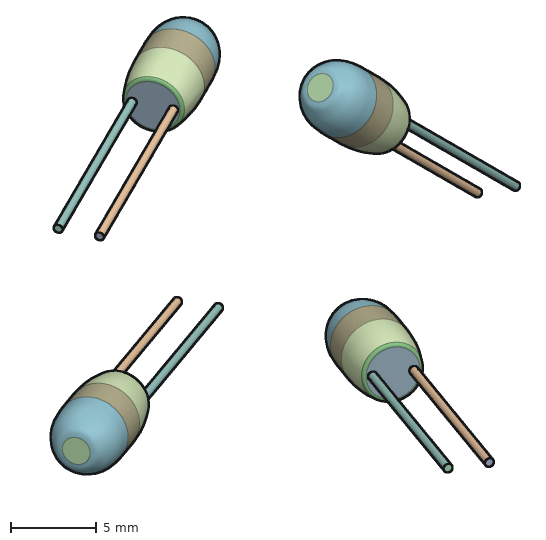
import cadquery as cq
import math

total_length = 21.55
body_diameter = 4.5
body_length = 7.6

base_round_length = 0.17
taper_length = 2.65
band_length = 2.03

base_face_radius = 1.65
taper_end_radius = 1.9
dome_shoulder_radius = 1.53
dome_tip_radius = 0.86

dome_shoulder_depth = 0.37

lead_diameter = 0.55
lead_spacing = 2.55
lead_embed = 0.22

body_radius = body_diameter / 2
lead_length = total_length - body_length
taper_start = base_round_length
band_start = taper_start + taper_length
dome_start = band_start + band_length

taper_drop = body_radius - taper_end_radius
taper_arc_radius = (taper_length**2 + taper_drop**2) / (2 * taper_drop)


def taper_radius_at(distance):
    """Body radius at a distance below the band, on the taper arc."""
    return body_radius - taper_arc_radius + math.sqrt(taper_arc_radius**2 - distance**2)


def make_body():
    """Barrel-shaped capsule revolved about Y, with its base face at Y = 0."""
    taper_middle = (taper_radius_at(taper_length / 2), band_start - taper_length / 2)
    quarter_middle = math.sqrt(0.5)
    base_round_middle = (
        base_face_radius + (taper_end_radius - base_face_radius) * quarter_middle,
        base_round_length * (1 - quarter_middle),
    )
    dome_points = [
        (dome_shoulder_radius, body_length - dome_shoulder_depth),
        (dome_tip_radius, body_length),
    ]
    return (
        cq.Workplane("XY")
        .lineTo(base_face_radius, 0)
        .threePointArc(base_round_middle, (taper_end_radius, taper_start))
        .threePointArc(taper_middle, (body_radius, band_start))
        .lineTo(body_radius, dome_start)
        .spline(dome_points, tangents=[(0, 1), (-1, 0)], includeCurrent=True)
        .lineTo(0, body_length)
        .close()
        .revolve(360, (0, 0, 0), (0, 1, 0))
    )


def make_leads():
    """Two round wires running toward -Y, their inner ends sunk into the body."""
    return (
        cq.Workplane("XZ", origin=(0, lead_embed, 0))
        .pushPoints([(-lead_spacing / 2, 0), (lead_spacing / 2, 0)])
        .circle(lead_diameter / 2)
        .extrude(lead_embed + lead_length)
    )


result = make_body().union(make_leads())